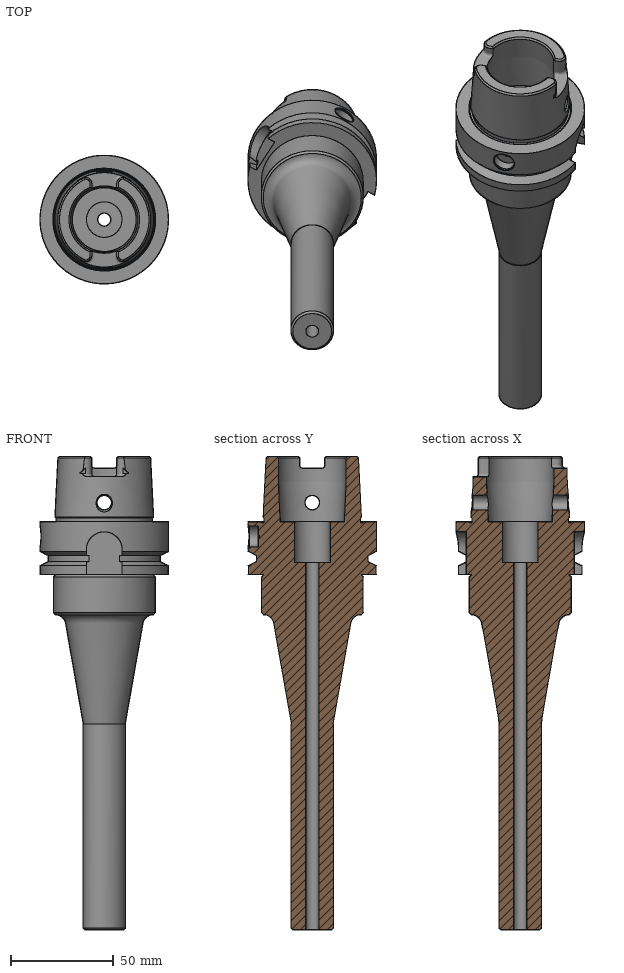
import cadquery as cq
import math


shank_top = 32.0
gauge_height = 6.3
gauge_radius = 24.0
taper_slope = 1 / 19.96
rim_chamfer = 0.8
chamfer_angle = 45.0
undercut_height = 2.3
undercut_depth = 0.5
undercut_outer_radius = 25.2

flange_radius = 31.5
flange_thickness = 26.0
groove_root_radius = 27.5
groove_centre = -18.1
groove_mouth_width = 7.0
groove_root_width = 2.9

collar_radius = 25.0
collar_chamfer = 1.0
collar_bottom = -45.6
cone_angle = 10.0
cone_bottom = -99.0
blend_radius = 5.1
blend_turn = 90.0 - cone_angle
shaft_radius = 10.5
shaft_chamfer = 1.0
total_length = 231.9
shaft_bottom = shank_top - total_length

bore_radius = 16.5
bore_taper_top = 19.2
bore_floor_radius = 15.6
bore_floor = 0.0
centre_bore_radius = 8.7
centre_bore_floor = -20.0
through_radius = 3.15

drive_slot_half_width = 6.1
drive_slot_flare = 3.0
flare_face_y = 20.6
drive_slot_root_fillet = 1.5
front_slot_depth = 10.0
back_slot_depth = 5.8

relief_inner_x = 9.1
relief_outer_x = 12.3
relief_wall_y = 19.9
relief_rise = 2.7

cross_hole_radius = 3.5
cross_hole_chamfer = 0.8
cross_hole_height = 9.3

keyway_half_width = 8.8
keyway_top = -5.0
keyway_floor_y = 26.5

chip_hole_radius = 5.0
chip_hole_chamfer = 0.4
chip_hole_floor_x = 26.5
chip_hole_height = -7.2
centre_dimple_radius = 0.5
centre_dimple_depth = 0.5


def taper_radius(z):
    return gauge_radius - (z - gauge_height) * taper_slope


def blend_point(turn):
    """Point on the concave arc from the collar's lower edge to the cone, after turning by the angle."""
    angle = math.radians(turn)
    start_radius = collar_radius - collar_chamfer
    return (
        start_radius - blend_radius * math.sin(angle),
        collar_bottom - blend_radius * (1 - math.cos(angle)),
    )


def make_body():
    mouth = groove_mouth_width / 2
    root = groove_root_width / 2
    cone_top_radius, cone_top = blend_point(blend_turn)
    cone_end_radius = cone_top_radius - (cone_top - cone_bottom) * math.tan(math.radians(cone_angle))
    shoulder_step = shaft_radius - cone_end_radius
    undercut_radius = taper_radius(undercut_height) - undercut_depth
    return (
        cq.Workplane("XZ")
        .moveTo(0, shank_top)
        .lineTo(taper_radius(shank_top) - rim_chamfer, shank_top)
        .lineTo(taper_radius(shank_top - rim_chamfer), shank_top - rim_chamfer)
        .lineTo(taper_radius(undercut_height), undercut_height)
        .lineTo(undercut_radius, undercut_height - undercut_depth)
        .lineTo(undercut_radius, -undercut_depth)
        .lineTo(undercut_outer_radius - undercut_depth, -undercut_depth)
        .lineTo(undercut_outer_radius, 0)
        .lineTo(flange_radius, 0)
        .lineTo(flange_radius, groove_centre + mouth)
        .lineTo(groove_root_radius, groove_centre + root)
        .lineTo(groove_root_radius, groove_centre - root)
        .lineTo(flange_radius, groove_centre - mouth)
        .lineTo(flange_radius, -flange_thickness)
        .lineTo(collar_radius - collar_chamfer, -flange_thickness)
        .lineTo(collar_radius, -flange_thickness - collar_chamfer)
        .lineTo(collar_radius, collar_bottom + collar_chamfer)
        .lineTo(collar_radius - collar_chamfer, collar_bottom)
        .threePointArc(blend_point(blend_turn / 2), (cone_top_radius, cone_top))
        .lineTo(cone_end_radius, cone_bottom)
        .lineTo(shaft_radius, cone_bottom - shoulder_step)
        .lineTo(shaft_radius, shaft_bottom + shaft_chamfer)
        .lineTo(shaft_radius - shaft_chamfer, shaft_bottom)
        .lineTo(0, shaft_bottom)
        .close()
        .revolve(360, (0, 0), (0, 1))
    )


def make_bore():
    return (
        cq.Workplane("XZ")
        .moveTo(0, shank_top)
        .lineTo(bore_radius + rim_chamfer, shank_top)
        .lineTo(bore_radius, shank_top - rim_chamfer)
        .lineTo(bore_radius, bore_taper_top)
        .lineTo(bore_floor_radius, bore_floor)
        .lineTo(centre_bore_radius, bore_floor)
        .lineTo(centre_bore_radius, centre_bore_floor)
        .lineTo(through_radius, centre_bore_floor)
        .lineTo(through_radius, shaft_bottom)
        .lineTo(0, shaft_bottom)
        .close()
        .revolve(360, (0, 0), (0, 1))
    )


def drive_slot_outline(side, height):
    """Outline of a slot through one wall (side is the sign of Y), its flanks flared at the mouth."""
    mouth_half_width = drive_slot_half_width + drive_slot_flare
    flare_start_y = flare_face_y - drive_slot_flare
    arc_offset = drive_slot_flare * (1 - math.sqrt(0.5))
    arc_x = drive_slot_half_width + arc_offset
    arc_y = flare_face_y - arc_offset
    return (
        cq.Workplane("XY", origin=(0, 0, height))
        .moveTo(-drive_slot_half_width, 0)
        .lineTo(-drive_slot_half_width, side * flare_start_y)
        .threePointArc((-arc_x, side * arc_y), (-mouth_half_width, side * flare_face_y))
        .lineTo(-flange_radius, side * flare_face_y)
        .lineTo(-flange_radius, side * flange_radius)
        .lineTo(flange_radius, side * flange_radius)
        .lineTo(flange_radius, side * flare_face_y)
        .lineTo(mouth_half_width, side * flare_face_y)
        .threePointArc((arc_x, side * arc_y), (drive_slot_half_width, side * flare_start_y))
        .lineTo(drive_slot_half_width, 0)
        .close()
    )


def make_drive_slot(side, depth):
    """Slot with a rounded root and a chamfered upper edge."""
    slot = drive_slot_outline(side, shank_top - depth).extrude(depth)
    slot = slot.faces("<Z").edges().fillet(drive_slot_root_fillet)
    upper_outline = drive_slot_outline(side, shank_top - rim_chamfer)
    edge_chamfer = upper_outline.extrude(rim_chamfer, taper=-chamfer_angle)
    return slot.union(edge_chamfer)


def make_slot_relief(side):
    """Wedge cut beside the front slot's root (side is the sign of X)."""
    relief_bottom = shank_top - front_slot_depth + drive_slot_root_fillet
    return (
        cq.Workplane("XZ", origin=(0, -relief_wall_y, 0))
        .moveTo(side * relief_inner_x, relief_bottom)
        .lineTo(side * relief_outer_x, relief_bottom)
        .lineTo(side * relief_inner_x, relief_bottom + relief_rise)
        .close()
        .extrude(flange_radius - relief_wall_y)
    )


def make_cross_hole():
    hole = (
        cq.Workplane("XZ", origin=(0, 0, cross_hole_height))
        .circle(cross_hole_radius)
        .extrude(flange_radius, both=True)
    )
    surface_y = taper_radius(cross_hole_height)
    for side in (-1, 1):
        countersink = cq.Solid.makeCone(
            cross_hole_radius,
            cross_hole_radius + 2 * cross_hole_chamfer,
            2 * cross_hole_chamfer,
            cq.Vector(0, side * (surface_y - cross_hole_chamfer), cross_hole_height),
            cq.Vector(0, side, 0),
        )
        hole = hole.union(cq.Workplane(countersink))
    return hole


def make_keyway(side):
    """Round-topped keyway on one side of the flange, open at the flange's bottom face."""
    arc_centre = keyway_top - keyway_half_width
    outline = (
        cq.Workplane("XZ", origin=(0, side * keyway_floor_y, 0))
        .moveTo(-keyway_half_width, -flange_thickness)
        .lineTo(-keyway_half_width, arc_centre)
        .threePointArc((0, keyway_top), (keyway_half_width, arc_centre))
        .lineTo(keyway_half_width, -flange_thickness)
        .close()
    )
    return outline.extrude(-side * (flange_radius - keyway_floor_y))


def make_chip_hole():
    chip_hole_mouth_x = math.sqrt(flange_radius**2 - chip_hole_radius**2)
    return (
        cq.Workplane("XY", origin=(0, 0, chip_hole_height))
        .moveTo(-flange_radius, 0)
        .lineTo(-flange_radius, chip_hole_radius + chip_hole_chamfer)
        .lineTo(-chip_hole_mouth_x, chip_hole_radius + chip_hole_chamfer)
        .lineTo(-chip_hole_mouth_x + chip_hole_chamfer, chip_hole_radius)
        .lineTo(-chip_hole_floor_x, chip_hole_radius)
        .lineTo(-chip_hole_floor_x, centre_dimple_radius)
        .lineTo(-chip_hole_floor_x + centre_dimple_depth, centre_dimple_radius)
        .lineTo(-chip_hole_floor_x + centre_dimple_depth, 0)
        .close()
        .revolve(360, (0, 0), (1, 0))
    )


result = make_body().cut(make_bore())
result = result.cut(make_drive_slot(-1, front_slot_depth))
result = result.cut(make_drive_slot(1, back_slot_depth))
result = result.cut(make_cross_hole())
for side in (-1, 1):
    result = result.cut(make_slot_relief(side))
    result = result.cut(make_keyway(side))
result = result.cut(make_chip_hole())